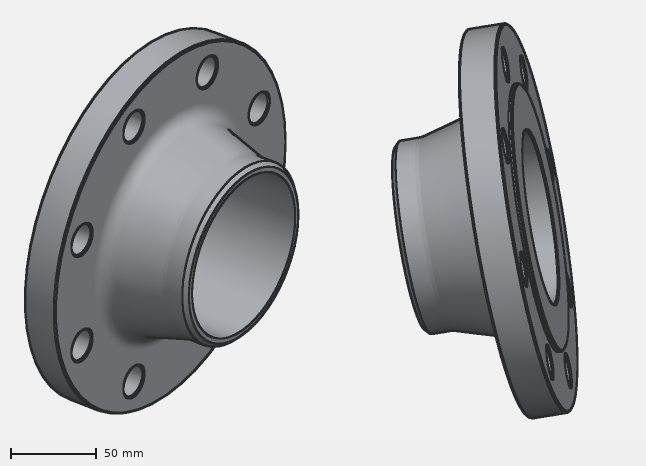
import cadquery as cq
import math

total_length = 77.0
edge_break = 1.0

flange_diameter = 230.0
flange_thickness = 22.3
raised_face_diameter = 158.7
raised_face_height = 2.3

bore_diameter = 102.4
pipe_diameter = 114.3
cone_base_diameter = 135.5
cone_length = 36.8
root_fillet = 10.4
neck_blend_radius = 9.2
weld_bevel = 2.8

bolt_count = 8
bolt_circle_diameter = 190.5
bolt_hole_diameter = 19.0

flange_radius = flange_diameter / 2
raised_face_radius = raised_face_diameter / 2
bore_radius = bore_diameter / 2
pipe_radius = pipe_diameter / 2
cone_base_radius = cone_base_diameter / 2

flange_front = raised_face_height
flange_back = flange_front + flange_thickness
cone_end = flange_back + cone_length


def circle_selector(x, radius):
    """Select the circular edge at this axial position and radius."""
    reach = 0.02
    return cq.selectors.BoxSelector(
        (x - reach, -radius - reach, -radius - reach),
        (x + reach, radius + reach, radius + reach),
        boundingbox=True,
    ) - cq.selectors.BoxSelector(
        (x - reach, -radius + reach, -radius + reach),
        (x + reach, radius - reach, radius - reach),
        boundingbox=True,
    )


def make_body():
    """Revolve the half section (X along the axis, Y as radius) and finish its edges."""
    body = (
        cq.Workplane("XY")
        .moveTo(0, bore_radius)
        .lineTo(0, raised_face_radius)
        .lineTo(flange_front, raised_face_radius)
        .lineTo(flange_front, flange_radius)
        .lineTo(flange_back, flange_radius)
        .lineTo(flange_back, cone_base_radius)
        .lineTo(cone_end, pipe_radius)
        .lineTo(total_length, pipe_radius)
        .lineTo(total_length, bore_radius)
        .close()
        .revolve(360, (0, 0, 0), (1, 0, 0))
    )
    body = body.edges(circle_selector(flange_back, cone_base_radius)).fillet(root_fillet)
    body = body.edges(circle_selector(cone_end, pipe_radius)).fillet(neck_blend_radius)
    body = body.edges(circle_selector(total_length, pipe_radius)).chamfer(weld_bevel)
    for x, radius in (
        (0, bore_radius),
        (0, raised_face_radius),
        (flange_front, flange_radius),
        (flange_back, flange_radius),
    ):
        body = body.edges(circle_selector(x, radius)).chamfer(edge_break)
    return body


def make_bolt_hole_cutter():
    """Hole through the flange, widened by a chamfer at both faces, on the X axis."""
    hole_radius = bolt_hole_diameter / 2
    mouth_radius = hole_radius + edge_break
    return (
        cq.Workplane("XY")
        .moveTo(flange_front, 0)
        .lineTo(flange_front, mouth_radius)
        .lineTo(flange_front + edge_break, hole_radius)
        .lineTo(flange_back - edge_break, hole_radius)
        .lineTo(flange_back, mouth_radius)
        .lineTo(flange_back, 0)
        .close()
        .revolve(360, (0, 0, 0), (1, 0, 0))
    )


def cut_bolt_holes(body):
    """Cut the bolt circle, with the holes straddling the Y and Z axes."""
    cutter = make_bolt_hole_cutter()
    bolt_circle_radius = bolt_circle_diameter / 2
    for index in range(bolt_count):
        angle = 2 * math.pi * (index + 0.5) / bolt_count
        y = bolt_circle_radius * math.cos(angle)
        z = bolt_circle_radius * math.sin(angle)
        body = body.cut(cutter.translate((0, y, z)))
    return body


result = cut_bolt_holes(make_body())